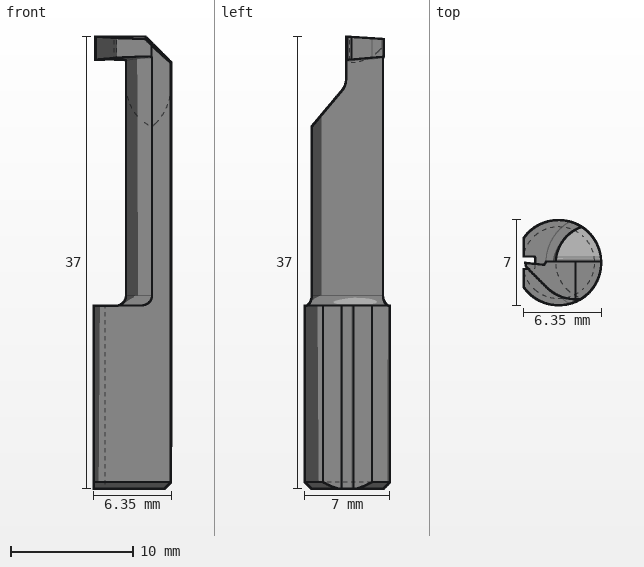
import cadquery as cq
import math

total_height = 37.0
shank_diameter = 7.0
shank_radius = shank_diameter / 2
width_across_flat = 6.35
flat_x = shank_radius - width_across_flat
shank_height = 15.0
end_chamfer = 0.55
slot_width = 1.0
slot_floor_x = -1.92
slot_corner_radius = 0.1

neck_radius = 3.07
neck_left_x = -0.22
neck_center_x = neck_left_x + neck_radius
base_fillet = 0.8

cut_y = 0.1
arc_start_z = 33.52
arc_radius = 1.48
slope_angle = math.radians(40)

tip_x = -2.75
tip_y = 0.0
tip_heel_x = -2.65
tip_heel_y = -0.35
head_bottom_z = 35.08
back_radius = 3.33
back_min_y = -3.0
rake_end_x = -1.2
rake_end_y = -0.2
rake_exit_x = -1.0
head_corner_x = 1.37
top_relief = math.tan(math.radians(3.7))
head_fillet = 0.1
bottom_relief = math.tan(math.radians(5))

margin = 1.85
reach = shank_radius + margin


def make_shank():
    """Shank with its flat, key slot and lower chamfer."""
    shank = cq.Workplane("XY").circle(shank_radius).extrude(shank_height)
    shank = shank.faces("<Z").chamfer(end_chamfer)
    beyond_flat = cq.Workplane("XY").box(
        reach, 2 * reach, total_height, centered=(False, True, False)
    ).translate((flat_x - reach, 0, 0))
    slot = cq.Workplane("XY").box(
        reach, slot_width, total_height, centered=(False, True, False)
    ).edges("|Z and >X").fillet(slot_corner_radius).translate((slot_floor_x - reach, 0, 0))
    return shank.cut(beyond_flat).cut(slot)


def make_neck():
    """Neck revolved about its own axis, flaring into the shank top."""
    flare_radius = neck_radius + base_fillet
    flare_top_z = shank_height + base_fillet
    bend = base_fillet * (1 - math.sqrt(0.5))
    profile = (
        cq.Workplane("XZ")
        .moveTo(0, shank_height)
        .lineTo(flare_radius, shank_height)
        .threePointArc((neck_radius + bend, shank_height + bend), (neck_radius, flare_top_z))
        .lineTo(neck_radius, total_height)
        .lineTo(0, total_height)
        .close()
    )
    return profile.revolve(360, (0, 0, 0), (0, 1, 0)).translate((neck_center_x, 0, 0))


def make_head():
    """Hooked head: outline in plan, with a relieved underside."""
    diagonal = math.sqrt(0.5)
    arc_center_y = back_min_y + back_radius
    join_y = arc_center_y - back_radius * diagonal
    join_x = tip_heel_x + tip_heel_y - join_y
    arc_center_x = join_x + back_radius * diagonal
    arc_end_x = arc_center_x + back_radius * diagonal
    head = (
        cq.Workplane("XY")
        .workplane(offset=head_bottom_z)
        .moveTo(tip_x, tip_y)
        .lineTo(tip_heel_x, tip_heel_y)
        .lineTo(join_x, join_y)
        .threePointArc((arc_center_x, back_min_y), (arc_end_x, join_y))
        .lineTo(arc_end_x, cut_y)
        .lineTo(rake_exit_x, cut_y)
        .lineTo(rake_end_x, rake_end_y)
        .close()
        .extrude(total_height - head_bottom_z)
    )
    underside = (
        cq.Workplane("YZ")
        .workplane(offset=-reach)
        .moveTo(cut_y, head_bottom_z)
        .lineTo(-reach, head_bottom_z)
        .lineTo(-reach, head_bottom_z + bottom_relief * (reach + cut_y))
        .close()
        .extrude(2 * reach)
    )
    return head.cut(underside)


def make_clearance():
    """Everything removed from the +Y side of the neck."""
    def arc_point(angle):
        return (
            cut_y + arc_radius * (1 - math.cos(angle)),
            arc_start_z - arc_radius * math.sin(angle),
        )

    slope_y, slope_z = arc_point(slope_angle)
    slope_end_z = slope_z - (reach - slope_y) / math.tan(slope_angle)
    return (
        cq.Workplane("YZ")
        .workplane(offset=-reach)
        .moveTo(cut_y, total_height + margin)
        .lineTo(cut_y, arc_start_z)
        .threePointArc(arc_point(slope_angle / 2), (slope_y, slope_z))
        .lineTo(reach, slope_end_z)
        .lineTo(reach, total_height + margin)
        .close()
        .extrude(2 * reach)
    )


def make_top_envelope():
    """Volume below the chamfered top, which falls away from the cut plane toward -Y."""
    depth = 2 * reach

    def section(y):
        drop = top_relief * (cut_y - y)
        top_z = total_height - drop
        return cq.Wire.makePolygon([
            cq.Vector(-reach, y, 0),
            cq.Vector(-reach, y, top_z),
            cq.Vector(head_corner_x, y, top_z),
            cq.Vector(reach, y, top_z - (reach - head_corner_x)),
            cq.Vector(reach, y, 0),
            cq.Vector(-reach, y, 0),
        ])

    return cq.Solid.makeLoft([section(cut_y - depth), section(cut_y + depth)], True)


neck_and_head = make_neck().union(make_head())
corner_angle = math.radians(220)
corner_y = neck_radius * math.sin(corner_angle)
corner_point = (
    neck_center_x + neck_radius * math.cos(corner_angle),
    corner_y,
    head_bottom_z + bottom_relief * (cut_y - corner_y),
)
corner_edge = cq.selectors.NearestToPointSelector(corner_point)
neck_and_head = neck_and_head.edges(corner_edge).fillet(head_fillet)

bar = cq.Workplane("XY").circle(shank_radius).extrude(total_height)
upper = neck_and_head.intersect(bar)
upper = upper.cut(make_clearance()).intersect(cq.Workplane(make_top_envelope()))
result = make_shank().union(upper)